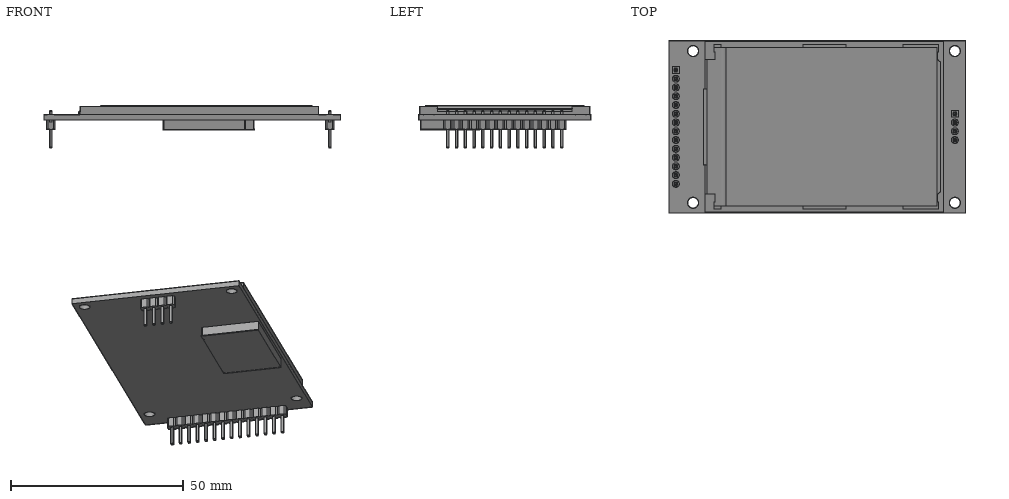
import cadquery as cq


BOARD_LENGTH = 86.0
BOARD_WIDTH = 50.0
BOARD_THICKNESS = 1.6
LEFT_EDGE = -BOARD_LENGTH / 2
RIGHT_EDGE = BOARD_LENGTH / 2
MOUNT_HOLE_DIAMETER = 3.1
MOUNT_HOLE_LEFT_X = LEFT_EDGE + 7.0
MOUNT_HOLE_RIGHT_X = RIGHT_EDGE - 3.1
MOUNT_HOLE_Y = 22.0

PITCH = 2.54
PIN_SIZE = 0.76
PIN_TIP_SIZE = 0.4
PIN_TIP_LENGTH = 0.3
PIN_ABOVE_BOARD = 1.2
PIN_BELOW_BOARD = 8.14
PAD_DIAMETER = 2.0
PAD_THICKNESS = 0.035
PAD_HOLE_DIAMETER = 1.1
HOUSING_HEIGHT = 2.7
HOUSING_CHAMFER = 0.5
HOUSING_GROOVE_DEPTH = 0.5
LONG_HEADER_X = LEFT_EDGE + 2.0
LONG_HEADER_PINS = 14
SHORT_HEADER_X = MOUNT_HOLE_RIGHT_X
SHORT_HEADER_PINS = 4

FRAME_LEFT = LEFT_EDGE + 10.46
FRAME_LENGTH = 69.2
FRAME_WIDTH = 49.4
FRAME_TOP = BOARD_THICKNESS + 2.35
WINDOW_FLOOR = BOARD_THICKNESS + 0.87

SCREEN_LEFT = LEFT_EDGE + 16.55
SCREEN_RIGHT = LEFT_EDGE + 77.65
SCREEN_WIDTH = 46.0
SCREEN_TOP = BOARD_THICKNESS + 2.6
GLASS_LEFT = LEFT_EDGE + 11.0
GLASS_TOP = BOARD_THICKNESS + 1.73
GLASS_SHEET_THICKNESS = 0.3
GLASS_OVERHANG = 0.1
SEAL_LENGTH = 1.5

WINDOW_LEFT = LEFT_EDGE + 13.0
WINDOW_RIGHT = LEFT_EDGE + 78.2
SIDE_OPENING_WIDTH = 39.0
LIP_LEFT = WINDOW_LEFT + 0.35
END_GAP = 0.2
LIP_END_Y = 21.75
RELIEF_DEPTH = 0.85
CORNER_RELIEF_LEFT_END = LEFT_EDGE + 15.05
MIDDLE_RELIEF_START = LEFT_EDGE + 38.8
MIDDLE_RELIEF_END = LEFT_EDGE + 51.4
CORNER_RELIEF_RIGHT_START = LEFT_EDGE + 67.9
END_POCKET_RIGHT = LEFT_EDGE + 78.8
END_POCKET_WIDTH = 37.4
END_POCKET_TAPER = 1.05

CABLE_LEFT = LEFT_EDGE + 10.05
CABLE_WIDTH = 22.0
CABLE_BEND_RADIUS = 0.55

SOCKET_LEFT = LEFT_EDGE + 34.5
SOCKET_LENGTH = 26.5
SOCKET_FRONT = 7.3
SOCKET_BACK = 24.4
SOCKET_HEIGHT = 2.85
SOCKET_SHEET = 0.25
SOCKET_BODY_INSET = 0.05
SOCKET_SLIT_X = LEFT_EDGE + 58.15
SOCKET_SLIT_WIDTH = 0.25
SOCKET_SLIT_DEPTH = 0.25

OVERLAP = 0.1


def block(x_start, x_end, y_start, y_end, z_start, z_end):
    """Box given by its limits along each axis."""
    box = cq.Workplane("XY").box(x_end - x_start, y_end - y_start, z_end - z_start, centered=False)
    return box.translate((x_start, y_start, z_start))


def pin_positions(x, count):
    """Pin centres along Y, the first at the +Y end."""
    first_y = (count - 1) * PITCH / 2
    return [(x, first_y - i * PITCH) for i in range(count)]


def make_board():
    board = block(LEFT_EDGE, RIGHT_EDGE, -BOARD_WIDTH / 2, BOARD_WIDTH / 2, 0, BOARD_THICKNESS)
    holes = [(x, y) for x in (MOUNT_HOLE_LEFT_X, MOUNT_HOLE_RIGHT_X) for y in (-MOUNT_HOLE_Y, MOUNT_HOLE_Y)]
    cutters = cq.Workplane("XY").pushPoints(holes).circle(MOUNT_HOLE_DIAMETER / 2).extrude(BOARD_THICKNESS)
    return board.cut(cutters)


def make_pads(positions):
    """Solder pads: the first one square, the rest round."""
    plane = cq.Workplane("XY").workplane(offset=BOARD_THICKNESS)
    square_pad = plane.pushPoints(positions[:1]).rect(PAD_DIAMETER, PAD_DIAMETER).extrude(PAD_THICKNESS)
    round_pads = plane.pushPoints(positions[1:]).circle(PAD_DIAMETER / 2).extrude(PAD_THICKNESS)
    return square_pad.union(round_pads)


def make_pin_holes(positions):
    depth = BOARD_THICKNESS + PAD_THICKNESS
    return cq.Workplane("XY").pushPoints(positions).circle(PAD_HOLE_DIAMETER / 2).extrude(depth)


def make_pin(x, y):
    """Square pin with a tapered tip at both ends."""
    shank_bottom = PIN_TIP_LENGTH - PIN_BELOW_BOARD
    shank_top = BOARD_THICKNESS + PIN_ABOVE_BOARD - PIN_TIP_LENGTH
    half = PIN_SIZE / 2
    pin = block(-half, half, -half, half, shank_bottom, shank_top)
    for shank_end, direction in ((shank_bottom, -1), (shank_top, 1)):
        tip = (
            cq.Workplane("XY").workplane(offset=shank_end).rect(PIN_SIZE, PIN_SIZE)
            .workplane(offset=direction * PIN_TIP_LENGTH).rect(PIN_TIP_SIZE, PIN_TIP_SIZE)
            .loft(combine=True)
        )
        pin = pin.union(tip)
    return pin.translate((x, y, 0))


def make_housing(x, positions):
    """Row of chamfered housing blocks with a groove along the face against the board."""
    length = len(positions) * PITCH
    housing = block(x - PITCH / 2, x + PITCH / 2, -length / 2, length / 2, -HOUSING_HEIGHT, 0)
    ends = [position[1] + PITCH / 2 for position in positions] + [-length / 2]
    corners = [(x + side * PITCH / 2, y) for side in (-1, 1) for y in ends]
    notch_side = 2 ** 0.5 * HOUSING_CHAMFER
    for corner_x, corner_y in corners:
        notch = cq.Workplane("XY").rect(notch_side, notch_side).extrude(-HOUSING_HEIGHT)
        notch = notch.rotate((0, 0, 0), (0, 0, 1), 45).translate((corner_x, corner_y, 0))
        housing = housing.cut(notch)
    half = PIN_SIZE / 2
    groove = block(x - half, x + half, -length / 2, length / 2, -HOUSING_GROOVE_DEPTH, 0)
    return housing.cut(groove)


def add_header(body, x, count):
    """Add pads, drilled holes, housing and pins for one row of pins."""
    positions = pin_positions(x, count)
    body = body.union(make_pads(positions)).cut(make_pin_holes(positions))
    body = body.union(make_housing(x, positions))
    for pin_x, pin_y in positions:
        body = body.union(make_pin(pin_x, pin_y))
    return body


def make_window():
    """Material removed from the frame: display area, edge reliefs, side opening and end pocket."""
    half = SCREEN_WIDTH / 2
    top = FRAME_TOP
    window = block(LIP_LEFT, SCREEN_RIGHT + END_GAP, -half, half, WINDOW_FLOOR, top)
    reliefs = (
        (WINDOW_LEFT, CORNER_RELIEF_LEFT_END),
        (MIDDLE_RELIEF_START, MIDDLE_RELIEF_END),
        (CORNER_RELIEF_RIGHT_START, WINDOW_RIGHT),
    )
    outer = half + RELIEF_DEPTH
    for start, end in reliefs:
        window = window.union(block(start, end, half, outer, WINDOW_FLOOR, top))
        window = window.union(block(start, end, -outer, -half, WINDOW_FLOOR, top))
    for y_start, y_end in ((LIP_END_Y, half), (-half, -LIP_END_Y)):
        window = window.union(block(WINDOW_LEFT, WINDOW_RIGHT, y_start, y_end, WINDOW_FLOOR, top))
    opening_half = SIDE_OPENING_WIDTH / 2
    window = window.union(block(FRAME_LEFT, LIP_LEFT, -opening_half, opening_half, WINDOW_FLOOR, top))
    pocket_half = END_POCKET_WIDTH / 2
    pocket = (
        cq.Workplane("XY").workplane(offset=WINDOW_FLOOR)
        .moveTo(SCREEN_RIGHT, -pocket_half - END_POCKET_TAPER)
        .lineTo(END_POCKET_RIGHT, -pocket_half)
        .lineTo(END_POCKET_RIGHT, pocket_half)
        .lineTo(SCREEN_RIGHT, pocket_half + END_POCKET_TAPER)
        .close()
        .extrude(top - WINDOW_FLOOR)
    )
    return window.union(pocket)


def make_frame():
    half = FRAME_WIDTH / 2
    frame = block(FRAME_LEFT, FRAME_LEFT + FRAME_LENGTH, -half, half, BOARD_THICKNESS, FRAME_TOP)
    return frame.cut(make_window())


def make_screen():
    """Glass sheets with the raised screen, joined by a curved seal on the left."""
    half = SCREEN_WIDTH / 2
    sheet_bottom = GLASS_TOP - GLASS_SHEET_THICKNESS
    opening_half = SIDE_OPENING_WIDTH / 2
    lower_left = GLASS_LEFT + GLASS_OVERHANG
    lower = block(lower_left, SCREEN_RIGHT, -opening_half, opening_half, WINDOW_FLOOR, sheet_bottom)
    upper = block(GLASS_LEFT, SCREEN_RIGHT, -opening_half, opening_half, sheet_bottom, GLASS_TOP)
    glass = block(WINDOW_LEFT, SCREEN_RIGHT, -half, half, WINDOW_FLOOR, GLASS_TOP)
    seal_start = SCREEN_LEFT - SEAL_LENGTH
    screen = (
        cq.Workplane("XZ").workplane(offset=-half)
        .moveTo(seal_start - OVERLAP, GLASS_TOP - OVERLAP)
        .lineTo(seal_start - OVERLAP, GLASS_TOP)
        .lineTo(seal_start, GLASS_TOP)
        .tangentArcPoint((SCREEN_LEFT, SCREEN_TOP), relative=False)
        .lineTo(SCREEN_RIGHT, SCREEN_TOP)
        .lineTo(SCREEN_RIGHT, GLASS_TOP - OVERLAP)
        .close()
        .extrude(SCREEN_WIDTH)
    )
    return glass.union(lower).union(upper).union(screen)


def make_cable():
    """Folded cable with a half-round outer bend."""
    radius = CABLE_BEND_RADIUS
    centre_x = CABLE_LEFT + radius
    end_x = GLASS_LEFT + GLASS_OVERHANG
    return (
        cq.Workplane("XZ").workplane(offset=-CABLE_WIDTH / 2)
        .moveTo(end_x, BOARD_THICKNESS)
        .lineTo(centre_x, BOARD_THICKNESS)
        .threePointArc((CABLE_LEFT, BOARD_THICKNESS + radius), (centre_x, BOARD_THICKNESS + 2 * radius))
        .lineTo(end_x, BOARD_THICKNESS + 2 * radius)
        .close()
        .extrude(CABLE_WIDTH)
    )


def make_socket():
    """Card socket: slightly narrower body on a cover sheet, with upright slits in its -Y face."""
    right = SOCKET_LEFT + SOCKET_LENGTH
    cover_top = SOCKET_SHEET - SOCKET_HEIGHT
    cover = block(SOCKET_LEFT, right, SOCKET_FRONT, SOCKET_BACK, -SOCKET_HEIGHT, cover_top)
    body_left = SOCKET_LEFT + SOCKET_BODY_INSET
    body_right = right - SOCKET_BODY_INSET
    body = block(body_left, body_right, SOCKET_FRONT, SOCKET_BACK, cover_top, 0)
    slit_back = SOCKET_FRONT + SOCKET_SLIT_DEPTH
    for x in (body_left, SOCKET_SLIT_X, body_right - SOCKET_SLIT_WIDTH):
        body = body.cut(block(x, x + SOCKET_SLIT_WIDTH, SOCKET_FRONT, slit_back, cover_top, 0))
    return cover.union(body)


module = make_board()
for component in (make_frame(), make_screen(), make_cable(), make_socket()):
    module = module.union(component)
module = add_header(module, LONG_HEADER_X, LONG_HEADER_PINS)
module = add_header(module, SHORT_HEADER_X, SHORT_HEADER_PINS)
result = module